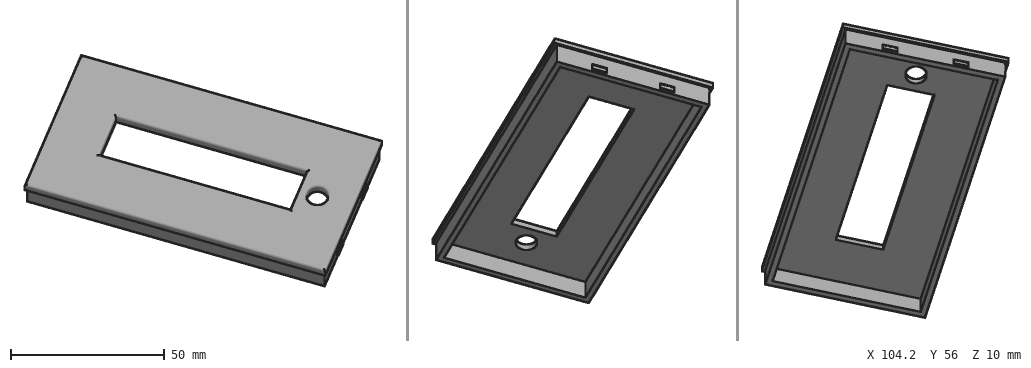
import cadquery as cq

LENGTH = 104.2
WIDTH = 56.0
HEIGHT = 10.0

LIP_HEIGHT = 2.5
PLATE_THICKNESS = 3
EDGE_RADIUS = 0.8

LIP_OVERHANG_X = 0.6
LIP_OVERHANG_Y = 1.0
WALL = 2.0
SKIRT_LENGTH = LENGTH - 2 * LIP_OVERHANG_X
SKIRT_WIDTH = WIDTH - 2 * LIP_OVERHANG_Y
LIP_BOTTOM = HEIGHT - LIP_HEIGHT
PLATE_BOTTOM = HEIGHT - PLATE_THICKNESS

WINDOW_LENGTH = 66
WINDOW_WIDTH = 16
HOLE_DIAMETER = 7.0
HOLE_X = 39.5

TAB_WIDTH = 5.0
TAB_HEIGHT = 2.0
TAB_BOTTOM = 1.0
TAB_PROJECTION = 0.4
TAB_Y = 12.0


def block(length, width, bottom, top):
    """Box centred on the Z axis, spanning from bottom to top."""
    return (
        cq.Workplane("XY", origin=(0, 0, bottom))
        .rect(length, width)
        .extrude(top - bottom)
    )


def make_shell():
    """Lipped plate on a hollow skirt that is open underneath."""
    lip = block(LENGTH, WIDTH, LIP_BOTTOM, HEIGHT).faces(">Z").edges().fillet(EDGE_RADIUS)
    skirt = block(SKIRT_LENGTH, SKIRT_WIDTH, 0, LIP_BOTTOM)
    cavity = block(SKIRT_LENGTH - 2 * WALL, SKIRT_WIDTH - 2 * WALL, 0, PLATE_BOTTOM)
    return lip.union(skirt).cut(cavity)


def cut_openings(body):
    """Display window and round hole, both rounded over at the top face."""
    plate = cq.Workplane("XY", origin=(0, 0, PLATE_BOTTOM))
    window = plate.rect(WINDOW_LENGTH, WINDOW_WIDTH).extrude(PLATE_THICKNESS)
    hole = plate.center(HOLE_X, 0).circle(HOLE_DIAMETER / 2).extrude(PLATE_THICKNESS)
    cut_body = body.cut(window).cut(hole)
    top_face = cut_body.faces(">Z").val()
    return cut_body.newObject(top_face.innerWires()).edges().fillet(EDGE_RADIUS)


def add_tabs(body):
    """Two snap tabs on each end wall."""
    for side in (-1, 1):
        for y in (-TAB_Y, TAB_Y):
            tab = block(2 * TAB_PROJECTION, TAB_WIDTH, TAB_BOTTOM, TAB_BOTTOM + TAB_HEIGHT)
            body = body.union(tab.translate((side * SKIRT_LENGTH / 2, y, 0)))
    return body


result = add_tabs(cut_openings(make_shell()))